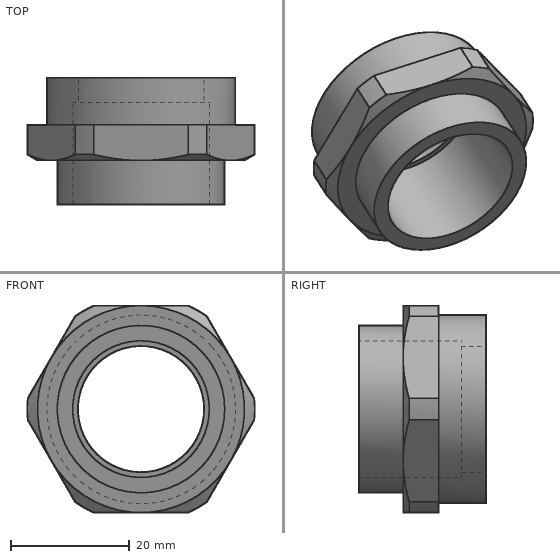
import cadquery as cq
import math

across_flats = 35.0
corner_diameter = 38.5
hex_length = 6.0
front_diameter = 28.3
front_length = 7.45
rear_diameter = 31.9
rear_length = 8.0
front_bore_diameter = 23.1
front_bore_depth = 17.32
rear_bore_diameter = 21.3
chamfer_angle = 30.0

hex_rear_y = front_length + hex_length
total_length = hex_rear_y + rear_length


def cylinder(diameter, start_y, length):
    """Solid cylinder along +Y, starting at start_y."""
    plane = cq.Workplane("XZ", origin=(0, start_y, 0))
    return plane.circle(diameter / 2).extrude(-length)


def hex_collar():
    """Hexagon with rounded-off corners and a conical chamfer on its front face."""
    point_diameter = across_flats / math.cos(math.radians(30))
    hexagon = (
        cq.Workplane("XZ", origin=(0, front_length, 0))
        .polygon(6, point_diameter)
        .extrude(-hex_length)
    )
    flat_radius = across_flats / 2
    corner_radius = corner_diameter / 2
    chamfer_depth = (corner_radius - flat_radius) * math.tan(math.radians(chamfer_angle))
    envelope = (
        cq.Workplane("XY")
        .moveTo(0, front_length)
        .lineTo(flat_radius, front_length)
        .lineTo(corner_radius, front_length + chamfer_depth)
        .lineTo(corner_radius, hex_rear_y)
        .lineTo(0, hex_rear_y)
        .close()
        .revolve(360, (0, 0, 0), (0, 1, 0))
    )
    return hexagon.intersect(envelope)


def stepped_bore():
    """Wide bore from the front, stepping down to a narrower bore that exits at the rear."""
    front_bore = cylinder(front_bore_diameter, 0, front_bore_depth)
    rear_bore = cylinder(rear_bore_diameter, front_bore_depth, total_length - front_bore_depth)
    return front_bore.union(rear_bore)


front_spigot = cylinder(front_diameter, 0, front_length)
rear_spigot = cylinder(rear_diameter, hex_rear_y, rear_length)
result = front_spigot.union(hex_collar()).union(rear_spigot).cut(stepped_bore())